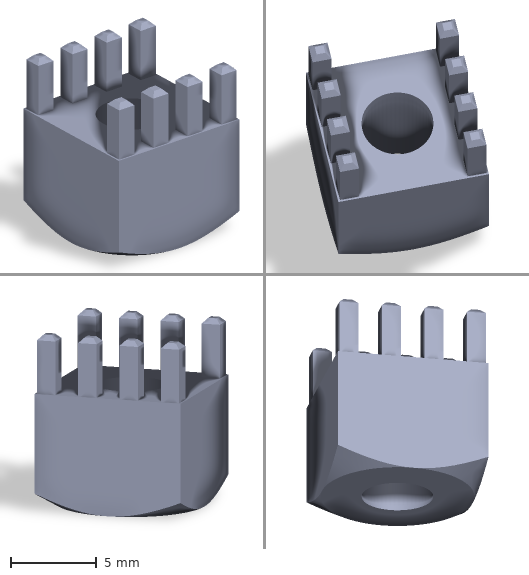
import cadquery as cq
import math

total_height = 10.5
body_width = 9.0
body_height = 7.0
bore_diameter = 4.2
cone_angle = 30

pin_rows = 2
pins_per_row = 4
row_spacing = 7.62
pin_pitch = row_spacing / (pins_per_row - 1)
pin_width = 1.13
tip_height = 0.3
tip_width = pin_width - 2 * tip_height
shank_height = total_height - body_height - tip_height


def make_body():
    """Square block with its lower corners turned off by a cone, and a bore through it."""
    block = cq.Workplane("XY").box(body_width, body_width, body_height, centered=(True, True, False))

    base_radius = body_width / 2
    envelope_radius = body_width
    cone_height = (envelope_radius - base_radius) * math.tan(math.radians(cone_angle))
    envelope = (
        cq.Workplane("XZ")
        .moveTo(0, 0)
        .lineTo(base_radius, 0)
        .lineTo(envelope_radius, cone_height)
        .lineTo(envelope_radius, body_height)
        .lineTo(0, body_height)
        .close()
        .revolve(360, (0, 0, 0), (0, 1, 0))
    )
    return block.intersect(envelope).faces(">Z").workplane().hole(bore_diameter)


def make_pins():
    """Square pins with tapered tips, standing in two rows on top of the body."""
    shank = cq.Workplane("XY").rect(pin_width, pin_width).extrude(shank_height)
    tip = (
        cq.Workplane("XY")
        .workplane(offset=shank_height)
        .rect(pin_width, pin_width)
        .workplane(offset=tip_height)
        .rect(tip_width, tip_width)
        .loft(ruled=True)
    )
    pin = shank.union(tip).val()
    return (
        cq.Workplane("XY")
        .workplane(offset=body_height)
        .rarray(row_spacing, pin_pitch, pin_rows, pins_per_row)
        .eachpoint(lambda location: pin.moved(location))
    )


result = make_body().union(make_pins())